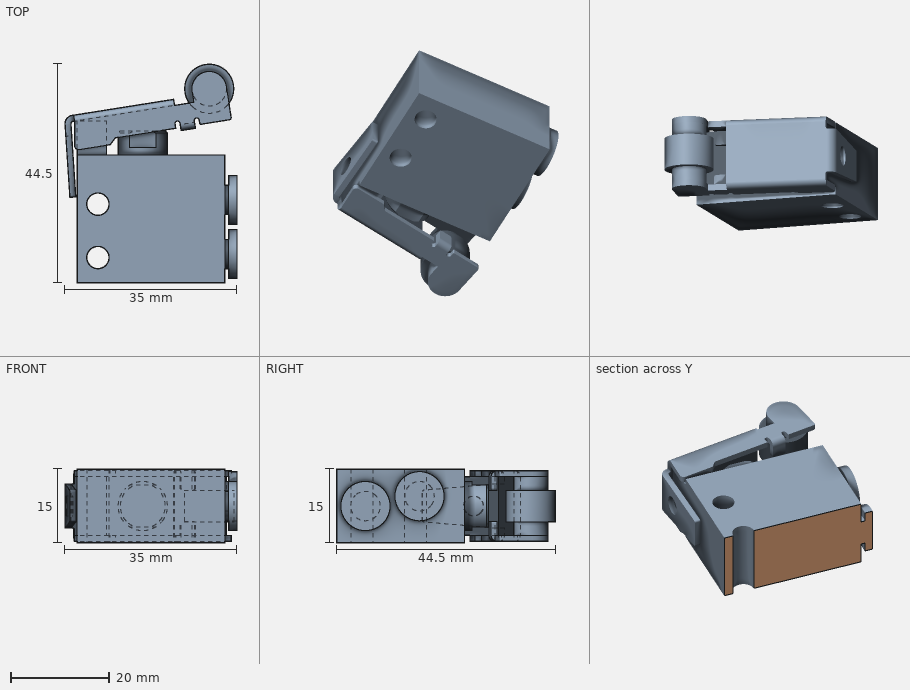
import cadquery as cq
import math

BLOCK_LENGTH = 30.0
BLOCK_WIDTH = 26.0
BLOCK_HEIGHT = 15.0
MOUNT_HOLE_DIAMETER = 4.5
MOUNT_HOLE_X = 4.22
MOUNT_HOLE_YS = (5.15, 16.0)

PLUNGER_DIAMETER = 10.0
PLUNGER_X = 13.35
PLUNGER_TOP_Y = 30.9
PLUNGER_CHAMFER = 0.45
FLAT_WIDTH = 5.35
FLAT_START_Y = 27.45

FITTING_NECK_DIAMETER = 6.0
FITTING_NECK_LENGTH = 0.8
FITTING_DISC_DIAMETER = 10.0
FITTING_DISC_LENGTH = 1.7
FITTING_PLACES = ((5.85, 0.0), (16.85, 2.0))

ROLLER_DIAMETER = 10.0
ROLLER_WIDTH = 6.4
ROLLER_TOP_Y = 44.45

SHEET = 1.25
LEVER_TILT = 9.0
LEVER_WIDTH = 14.4
LEVER_START_X = -0.7
WEB_LENGTH = 20.6
FLANGE_BOTTOM_V = -5.9
HINGE_BOTTOM_V = -7.1
HINGE_STEP_START_U = 6.4
HINGE_STEP_END_U = 7.65
HINGE_CORNER_RADIUS = 0.8
EAR_RADIUS = 3.5
EAR_U = 28.05
EAR_V = 1.0
EAR_CORNER_RADIUS = 0.5

TAB_START_U = 21.05
TAB_END_U = 24.05
TAB_BEND_V = -5.3
TAB_REACH = 4.1
TAB_CORNER_RADIUS = 0.55
SLOT_WIDTH = 1.0
SLOT_TOP_V = -4.5
SLOT_MOUTH_RADIUS = 0.22

LEG_TILT = 3.8
LEG_LENGTH = 14.9
LEG_ROOT_WIDTH = 9.0
LEG_TIP_WIDTH = 6.4
LEG_CORNER_RADIUS = 0.4
LEG_BEND_RADIUS = 0.5
LEG_STUB = 0.3
LEG_HOLE_DIAMETER = 4.0
LEG_HOLE_DISTANCE = 4.45

FLANGE_GAP = LEVER_WIDTH - 2 * SHEET
NECK_LENGTH = 6.0
NECK_TOP_Y = 32.9

ARC_MIDDLE = math.sqrt(0.5)

ROLLER_Y = ROLLER_TOP_Y - ROLLER_DIAMETER / 2
TILT = math.radians(LEVER_TILT)
LEVER_START_Y = ROLLER_Y - EAR_U * math.sin(TILT) - EAR_V * math.cos(TILT)
ROLLER_X = LEVER_START_X + EAR_U * math.cos(TILT) - EAR_V * math.sin(TILT)


def box(x_range, y_range, z_range):
    """A box spanning the three given (low, high) ranges."""
    low, high = zip(x_range, y_range, z_range)
    size = [end - start for start, end in zip(low, high)]
    return cq.Workplane().box(*size, centered=False).translate(low)


def centred(width):
    """The (low, high) range of a width centred on zero."""
    return (-width / 2, width / 2)


def make_centred_cylinder(radius, height):
    """A cylinder along Z, centred on the origin."""
    return cq.Workplane(origin=(0, 0, -height / 2)).circle(radius).extrude(height)


def make_plunger():
    radius = PLUNGER_DIAMETER / 2
    base = cq.Workplane("XZ", origin=(PLUNGER_X, BLOCK_WIDTH, 0))
    plunger = base.circle(radius).extrude(BLOCK_WIDTH - PLUNGER_TOP_Y)
    plunger = plunger.faces(">Y").chamfer(PLUNGER_CHAMFER)
    flat_z = math.sqrt(radius**2 - (FLAT_WIDTH / 2) ** 2)
    between_flats = box(
        (PLUNGER_X - radius, PLUNGER_X + radius), (FLAT_START_Y, PLUNGER_TOP_Y), centred(2 * flat_z)
    )
    below_flats = box(
        (PLUNGER_X - radius, PLUNGER_X + radius), (BLOCK_WIDTH, FLAT_START_Y), centred(2 * radius)
    )
    return plunger.intersect(between_flats.union(below_flats))


def make_fitting(y, z):
    neck = cq.Workplane("YZ", origin=(BLOCK_LENGTH, y, z)).circle(FITTING_NECK_DIAMETER / 2)
    neck = neck.extrude(FITTING_NECK_LENGTH)
    disc = neck.faces(">X").workplane().circle(FITTING_DISC_DIAMETER / 2)
    return disc.extrude(FITTING_DISC_LENGTH)


def make_housing():
    housing = box((0, BLOCK_LENGTH), (0, BLOCK_WIDTH), centred(BLOCK_HEIGHT))
    housing = housing.union(box((0, NECK_LENGTH), (BLOCK_WIDTH, NECK_TOP_Y), centred(FLANGE_GAP)))
    housing = housing.union(make_plunger())
    for y, z in FITTING_PLACES:
        housing = housing.union(make_fitting(y, z))
    for y in MOUNT_HOLE_YS:
        hole = make_centred_cylinder(MOUNT_HOLE_DIAMETER / 2, BLOCK_HEIGHT)
        housing = housing.cut(hole.translate((MOUNT_HOLE_X, y, 0)))
    return housing


def make_roller():
    """A roller with a hub at each end that reaches the flange beside it."""
    roller = make_centred_cylinder(ROLLER_DIAMETER / 2, ROLLER_WIDTH)
    hubs = make_centred_cylinder(EAR_RADIUS, FLANGE_GAP)
    return roller.union(hubs).translate((ROLLER_X, ROLLER_Y, 0))


def make_web():
    """The web with the round bends along both of its long edges."""
    inner, outer = FLANGE_GAP / 2, LEVER_WIDTH / 2
    bend_middle_z = inner + SHEET * ARC_MIDDLE
    bend_middle_v = SHEET * (ARC_MIDDLE - 1)
    return (
        cq.Workplane("YZ")
        .moveTo(-SHEET, -outer)
        .threePointArc((bend_middle_v, -bend_middle_z), (0, -inner))
        .lineTo(0, inner)
        .threePointArc((bend_middle_v, bend_middle_z), (-SHEET, outer))
        .close()
        .extrude(WEB_LENGTH)
    )


def make_slot(start_u):
    """A round-topped slot up through the lower edge of a flange."""
    radius = SLOT_WIDTH / 2
    arc_v = SLOT_TOP_V - radius
    return (
        cq.Workplane()
        .moveTo(start_u, HINGE_BOTTOM_V)
        .lineTo(start_u, arc_v)
        .threePointArc((start_u + radius, SLOT_TOP_V), (start_u + SLOT_WIDTH, arc_v))
        .lineTo(start_u + SLOT_WIDTH, HINGE_BOTTOM_V)
        .close()
        .extrude(LEVER_WIDTH)
    )


def make_flange():
    """The +Z flange: hinge end, relief slots and the ear that holds the roller."""
    hinge_u = (HINGE_BOTTOM_V + SHEET) * math.tan(TILT)
    flange = (
        cq.Workplane(origin=(0, 0, FLANGE_GAP / 2))
        .moveTo(0, -SHEET)
        .lineTo(hinge_u, HINGE_BOTTOM_V)
        .lineTo(HINGE_STEP_START_U, HINGE_BOTTOM_V)
        .lineTo(HINGE_STEP_END_U, FLANGE_BOTTOM_V)
        .lineTo(EAR_U + EAR_RADIUS, FLANGE_BOTTOM_V)
        .lineTo(EAR_U + EAR_RADIUS, EAR_V)
        .threePointArc((EAR_U, EAR_V + EAR_RADIUS), (EAR_U - EAR_RADIUS, EAR_V))
        .lineTo(EAR_U - EAR_RADIUS, -SHEET)
        .close()
        .extrude(SHEET)
    )
    below_tab = box((TAB_START_U, TAB_END_U), (HINGE_BOTTOM_V, TAB_BEND_V), (0, LEVER_WIDTH))
    flange = flange.cut(below_tab)
    for start_u in (TAB_START_U - SLOT_WIDTH, TAB_END_U):
        flange = flange.cut(make_slot(start_u))
    for u, v, radius in (
        (hinge_u, HINGE_BOTTOM_V, HINGE_CORNER_RADIUS),
        (TAB_END_U + SLOT_WIDTH, FLANGE_BOTTOM_V, SLOT_MOUTH_RADIUS),
        (EAR_U + EAR_RADIUS, FLANGE_BOTTOM_V, EAR_CORNER_RADIUS),
    ):
        corner = cq.selectors.NearestToPointSelector((u, v, (FLANGE_GAP + SHEET) / 2))
        flange = flange.edges(corner).fillet(radius)
    return flange


def make_tab():
    """The tab bent inward from the lower edge of the +Z flange."""
    inner, outer = FLANGE_GAP / 2, LEVER_WIDTH / 2
    outer_v = TAB_BEND_V - SHEET
    tip_z = outer - TAB_REACH
    bend_middle = (TAB_BEND_V - SHEET * ARC_MIDDLE, inner + SHEET * ARC_MIDDLE)
    tab = (
        cq.Workplane("YZ", origin=(TAB_START_U, 0, 0))
        .moveTo(TAB_BEND_V, outer)
        .threePointArc(bend_middle, (outer_v, inner))
        .lineTo(outer_v, tip_z)
        .lineTo(TAB_BEND_V, tip_z)
        .close()
        .extrude(TAB_END_U - TAB_START_U)
    )
    return tab.faces("<Z").edges("|Y").fillet(TAB_CORNER_RADIUS)


def make_leg():
    """The bent leg: stub, round bend, and a tapered plate with a hole."""
    bend_v = -SHEET - LEG_BEND_RADIUS
    outer_radius = LEG_BEND_RADIUS + SHEET
    half_root, half_tip = LEG_ROOT_WIDTH / 2, LEG_TIP_WIDTH / 2

    stub = box((-LEG_STUB, 0), (-SHEET, 0), centred(LEG_ROOT_WIDTH + 2 * LEG_STUB))
    for side in (-1, 1):
        relief = cq.Workplane(origin=(-LEG_STUB, 0, side * (half_root + LEG_STUB)))
        relief = relief.transformed(rotate=(90, 0, 0)).circle(LEG_STUB)
        stub = stub.cut(relief.extrude(SHEET, both=True))

    plate_normal = 180 + LEG_TILT - LEVER_TILT
    end = math.radians(plate_normal)
    middle = math.radians((90 + plate_normal) / 2)

    def bend_point(radius, angle):
        return (-LEG_STUB + radius * math.cos(angle), bend_v + radius * math.sin(angle))

    bend = (
        cq.Workplane(origin=(0, 0, -half_root))
        .moveTo(-LEG_STUB, 0)
        .threePointArc(bend_point(outer_radius, middle), bend_point(outer_radius, end))
        .lineTo(*bend_point(LEG_BEND_RADIUS, end))
        .threePointArc(bend_point(LEG_BEND_RADIUS, middle), (-LEG_STUB, -SHEET))
        .close()
        .extrude(LEG_ROOT_WIDTH)
    )

    outward = (math.cos(end), math.sin(end), 0)
    down = (-math.sin(end), math.cos(end), 0)
    plate_plane = cq.Plane(origin=(*bend_point(LEG_BEND_RADIUS, end), 0), xDir=down, normal=outward)
    outline = [(0, -half_root), (LEG_LENGTH, -half_tip), (LEG_LENGTH, half_tip), (0, half_root)]
    plate = cq.Workplane(plate_plane).polyline(outline).close().extrude(SHEET)
    plate = plate.faces("<Y").edges("not |Z").edges(">Z or <Z").fillet(LEG_CORNER_RADIUS)
    hole = cq.Workplane(plate_plane).center(LEG_HOLE_DISTANCE, 0).circle(LEG_HOLE_DIAMETER / 2)
    plate = plate.cut(hole.extrude(SHEET))
    return stub.union(bend).union(plate)


def make_lever():
    side = make_flange().union(make_tab())
    lever = make_web().union(side).union(side.mirror("XY")).union(make_leg())
    lever = lever.rotate((0, 0, 0), (0, 0, 1), LEVER_TILT)
    return lever.translate((LEVER_START_X, LEVER_START_Y, 0))


housing = make_housing()
roller = make_roller()
lever = make_lever()

bodies = [housing, roller, lever]
result = cq.Compound.makeCompound([body.solids().val() for body in bodies])